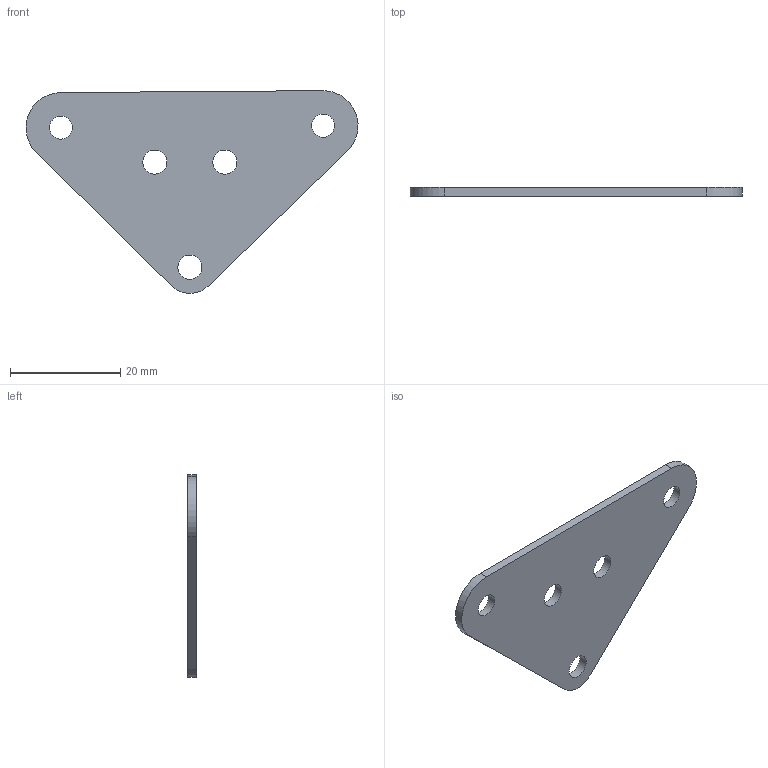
import cadquery as cq
import math

thickness = 1.59

top_lobe_radius = 6.35
bottom_lobe_radius = 4.76
top_hole_spacing = 47.5
top_right_offset = 24.13
top_right_height = 25.65
top_left_drop = 0.35
bottom_hole = (0.0, 0.0)
top_right_hole = (top_right_offset, top_right_height)
top_left_hole = (top_right_offset - top_hole_spacing, top_right_height - top_left_drop)

inner_hole_spacing = 12.7
inner_hole_height = 19.05
inner_holes = [(side * inner_hole_spacing / 2, inner_hole_height) for side in (-1, 1)]

top_hole_diameter = 4.19
lower_hole_diameter = 4.37


def point_on_lobe(lobe, angle):
    """Point on a lobe's circle at the given angle."""
    (x, z), radius = lobe
    return (x + radius * math.cos(angle), z + radius * math.sin(angle))


def tangent_normal_angle(start, end):
    """Direction of the outward normal of the straight edge joining two lobes, going counterclockwise."""
    (x0, z0), start_radius = start
    (x1, z1), end_radius = end
    edge_angle = math.atan2(z1 - z0, x1 - x0)
    taper = math.acos((start_radius - end_radius) / math.hypot(x1 - x0, z1 - z0))
    return edge_angle - taper


def plate():
    """Triangular plate whose straight edges run tangent to the three corner lobes."""
    lobes = [
        (bottom_hole, bottom_lobe_radius),
        (top_right_hole, top_lobe_radius),
        (top_left_hole, top_lobe_radius),
    ]
    count = len(lobes)
    normals = [tangent_normal_angle(lobes[i], lobes[(i + 1) % count]) for i in range(count)]

    outline = cq.Workplane("XZ").moveTo(*point_on_lobe(lobes[0], normals[0]))
    for i in range(count):
        lobe = lobes[(i + 1) % count]
        arrive = normals[i]
        sweep = (normals[(i + 1) % count] - arrive) % (2 * math.pi)
        outline = outline.lineTo(*point_on_lobe(lobe, arrive))
        outline = outline.threePointArc(
            point_on_lobe(lobe, arrive + sweep / 2),
            point_on_lobe(lobe, arrive + sweep),
        )
    return outline.close().extrude(thickness)


def through_holes(centres, diameter):
    """Cylinders through the plate thickness."""
    return cq.Workplane("XZ").pushPoints(centres).circle(diameter / 2).extrude(thickness)


result = (
    plate()
    .cut(through_holes([top_left_hole, top_right_hole], top_hole_diameter))
    .cut(through_holes([bottom_hole] + inner_holes, lower_hole_diameter))
)